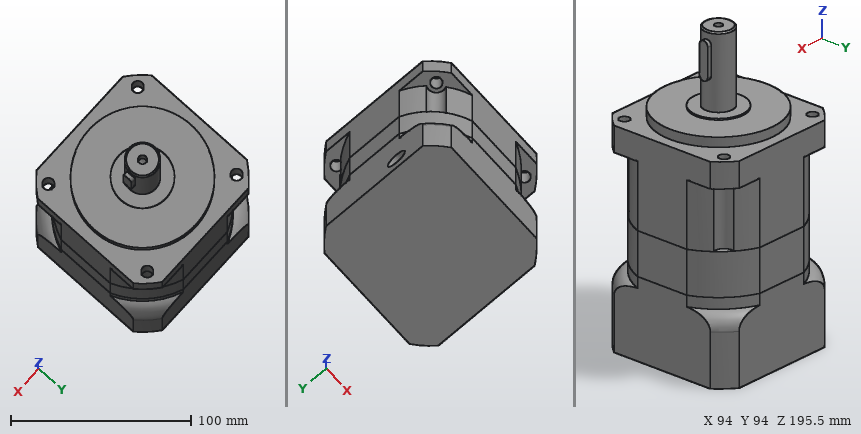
import cadquery as cq
import math

TOTAL_HEIGHT = 195.5
ADAPTER_TOP = 52.0
RING_TOP = 80.2
FLANGE_BOTTOM = 122.5
FLANGE_TOP = 139.2
PILOT_TOP = 145.5
SEAL_TOP = 146.5

SQUARE_WIDTH = 94.0
CORNER_RADIUS = 59.0
BARREL_RADIUS = 50.5

SHOULDER_TOP = 45.0
SHOULDER_FILLET = 10.0
ACCESS_DIAMETER = 12.7
ACCESS_Y = -16.2
ACCESS_Z = 14.9
CORE_RADIUS = 23.9

PILOT_DIAMETER = 80.0
SEAL_DIAMETER = 35.5
BOLT_OFFSET = 37.0
BOLT_DIAMETER = 6.8
BOLT_GROOVE_RADIUS = 5.9

SHAFT_DIAMETER = 20.0
SHAFT_CHAMFER = 1.0
CENTRE_DIAMETER = 5.0
CENTRE_DEPTH = 9.8
DRILL_POINT_ANGLE = 118.0
KEY_WIDTH = 6.0
KEY_LENGTH = 24.8
KEY_BOTTOM = 165.4
KEY_CREST = 12.5


def cylinder(radius, bottom, top):
    """Upright cylinder on the Z axis."""
    return cq.Workplane("XY").workplane(offset=bottom).circle(radius).extrude(top - bottom)


def square_prism(bottom, top):
    """Upright square prism centred on the Z axis."""
    height = top - bottom
    return cq.Workplane("XY").workplane(offset=bottom).rect(SQUARE_WIDTH, SQUARE_WIDTH).extrude(height)


def trimmed_square(radius, bottom, top):
    """Square prism whose corners are rounded by a cylinder on the Z axis."""
    return square_prism(bottom, top).intersect(cylinder(radius, bottom, top))


def corner_cylinders(radius, bottom, top):
    """Four upright cylinders on the bolt positions."""
    spacing = 2 * BOLT_OFFSET
    return (
        cq.Workplane("XY")
        .workplane(offset=bottom)
        .rect(spacing, spacing, forConstruction=True)
        .vertices()
        .circle(radius)
        .extrude(top - bottom)
    )


def make_motor_adapter():
    """Square base with domed corner shoulders and an access hole in the -X side."""
    shoulder = cylinder(CORNER_RADIUS, 0, SHOULDER_TOP).faces(">Z").edges().fillet(SHOULDER_FILLET)
    base = square_prism(0, SHOULDER_TOP).intersect(shoulder)
    adapter = base.union(trimmed_square(BARREL_RADIUS, 0, ADAPTER_TOP))

    access_hole = (
        cq.Workplane("YZ")
        .center(ACCESS_Y, ACCESS_Z)
        .circle(ACCESS_DIAMETER / 2)
        .extrude(-SQUARE_WIDTH / 2)
        .cut(cylinder(CORE_RADIUS, 0, ADAPTER_TOP))
    )
    return adapter.cut(access_hole)


def make_gear_ring():
    """Plain ring section between the adapter and the output housing."""
    return trimmed_square(BARREL_RADIUS, ADAPTER_TOP, RING_TOP)


def centre_drilling():
    """Centre hole in the shaft end: a round bore that ends in a drill point."""
    radius = CENTRE_DIAMETER / 2
    bore_end = TOTAL_HEIGHT - CENTRE_DEPTH
    tip = bore_end - radius / math.tan(math.radians(DRILL_POINT_ANGLE / 2))
    return (
        cq.Workplane("XZ")
        .moveTo(0, TOTAL_HEIGHT)
        .lineTo(radius, TOTAL_HEIGHT)
        .lineTo(radius, bore_end)
        .lineTo(0, tip)
        .close()
        .revolve(360, (0, 0, 0), (0, 1, 0))
    )


def make_shaft():
    """Output shaft with a chamfered, centre-drilled end."""
    shaft = cylinder(SHAFT_DIAMETER / 2, SEAL_TOP, TOTAL_HEIGHT)
    shaft = shaft.faces(">Z").chamfer(SHAFT_CHAMFER)
    return shaft.cut(centre_drilling())


def make_key():
    """Round-ended key standing out of the +X side of the shaft."""
    root = SHAFT_DIAMETER / 4
    return (
        cq.Workplane("YZ")
        .workplane(offset=root)
        .center(0, KEY_BOTTOM + KEY_LENGTH / 2)
        .slot2D(KEY_LENGTH, KEY_WIDTH, 90)
        .extrude(KEY_CREST - root)
    )


def make_output_housing():
    """Flanged housing with its pilot, seal face, shaft and key."""
    barrel = trimmed_square(BARREL_RADIUS, RING_TOP, FLANGE_BOTTOM)
    barrel = barrel.cut(corner_cylinders(BOLT_GROOVE_RADIUS, RING_TOP, FLANGE_BOTTOM))
    flange = trimmed_square(CORNER_RADIUS, FLANGE_BOTTOM, FLANGE_TOP)
    flange = flange.cut(corner_cylinders(BOLT_DIAMETER / 2, FLANGE_BOTTOM, FLANGE_TOP))
    pilot = cylinder(PILOT_DIAMETER / 2, FLANGE_TOP, PILOT_TOP)
    seal = cylinder(SEAL_DIAMETER / 2, PILOT_TOP, SEAL_TOP)
    return barrel.union(flange).union(pilot).union(seal).union(make_shaft()).union(make_key())


motor_adapter = make_motor_adapter()
gear_ring = make_gear_ring()
output_housing = make_output_housing()

result = cq.Compound.makeCompound([motor_adapter.val(), gear_ring.val(), output_housing.val()])